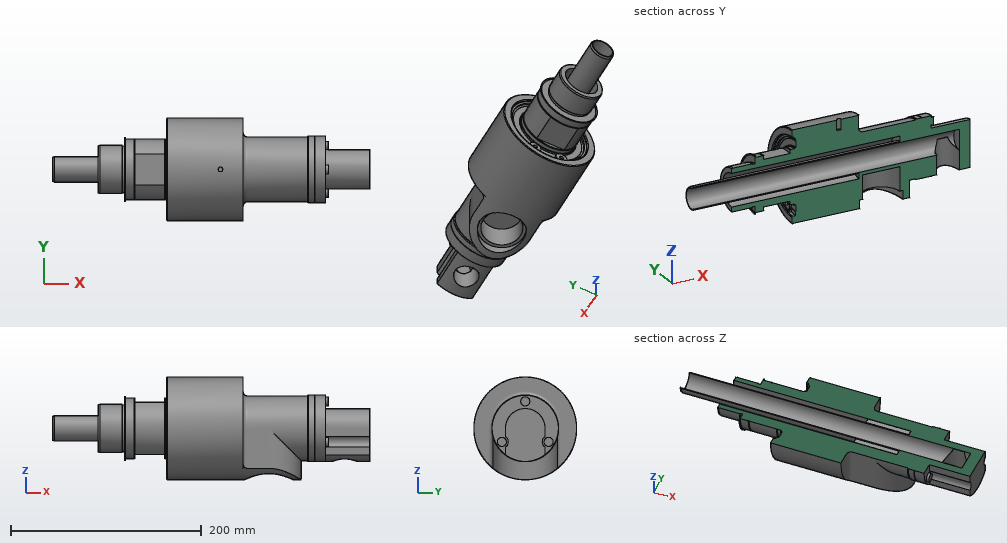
import cadquery as cq
import math

LENGTH = 332.2

TUBE_DIA = 26.98
TUBE_BORE = 23.4
TUBE_CHAMFER_LENGTH = 2.0
TUBE_CHAMFER_DEPTH = 0.9

SLEEVE_START = 47.5
SLEEVE_DIA = 50.75
SLEEVE_BORE = 38.1
SLEEVE_CHAMFER = (1.8, 0.7)
SLEEVE_NECK_DIA = 49.4
SLEEVE_NECK_START = 72.4
RING_START = 75.4
RING_WIDTH = 1.0
RING_DIA = 67.0

ROTOR_DIA = 64.0
ROTOR_GROOVE_DEPTH = 0.3
ROTOR_GROOVE_WIDTH = 1.0
FLATS_START = 86.2
FLATS_END = 117.3
FLATS_ACROSS = 55.2

HOUSING_DIA = 107.95
HOUSING_START = 119.2
HOUSING_END = 199.6
HOUSING_CHAMFER = 0.9
RECESS_DIA = 90.0
RECESS_CHAMFER = 1.0
SHOULDER_DIA = 81.0
SHOULDER_DEPTH = 4.5
RECESS_DEPTH = 4.8
ROTOR_SHOULDER_DIA = 66.4
ROTOR_SHOULDER_DEPTH = 3.0
VENT_DIA = 4.78
VENT_X = 175.8
VENT_DEPTH = 12.0

SNAP_RING_DEPTH = 2.4
SNAP_RING_INNER_DIA = 85.4
SNAP_RING_GAP = 17.4
EAR_RADIUS = 6.6
EAR_OFFSET_Y = 15.4
EAR_OFFSET_Z = -36.6
EAR_HOLE_DIA = 4.36

BARREL_DIA = 68.0
BARREL_END = 266.7
BARREL_FILLET = 4.6
FILLET_MID = BARREL_FILLET * (1 - math.sqrt(0.5))

LUG_PORT_X = 226.4
LUG_PORT_DIA = 44.1
LUG_SPOTFACE_DIA = 51.2
LUG_SPOTFACE_TOP = -44.0
LUG_PORT_TOP = -16.0

FLANGE_DIA = 70.0
FLANGE_END = 286.0
FLANGE_CHAMFER = (1.5, 0.5)
SEAM_X = 274.4
SEAM_WIDTH = 0.3
SEAM_DEPTH = 0.2
SCREW_COUNT = 3
SCREW_CIRCLE_RADIUS = 28.3
SCREW_HEAD_DIA = 9.53
SCREW_HEAD_HEIGHT = 2.9

BOSS_WIDTH = 41.6
BOSS_BOTTOM_DIA = 69.6
BOSS_RELIEF_RADIUS = 6.7
REAR_PORT_X = 305.8
REAR_PORT_DIA = 26.64

CUT_CLEARANCE = 1.0


def rod(start, end, diameter, y=0.0, z=0.0):
    """Solid cylinder along X from start to end."""
    plane = cq.Workplane("YZ", origin=(start, y, z))
    return plane.circle(diameter / 2).extrude(end - start)


def upright(x, bottom, top, diameter):
    """Solid vertical cylinder between two heights."""
    return cq.Workplane("XY", origin=(x, 0, bottom)).circle(diameter / 2).extrude(top - bottom)


def block(x0, x1, y0, y1, z0, z1):
    """Solid box between opposite corners."""
    return cq.Workplane("XY").box(x1 - x0, y1 - y0, z1 - z0, centered=False).translate((x0, y0, z0))


def make_turned_body():
    """Revolved tube, sleeve, rotor, housing, barrel and flange, with the annulus around the tube."""
    annulus_end = LUG_PORT_X + LUG_PORT_DIA / 2
    tube_r = TUBE_DIA / 2
    sleeve_r = SLEEVE_DIA / 2
    neck_r = SLEEVE_NECK_DIA / 2
    ring_r = RING_DIA / 2
    rotor_r = ROTOR_DIA / 2
    housing_r = HOUSING_DIA / 2
    barrel_r = BARREL_DIA / 2
    flange_r = FLANGE_DIA / 2
    ring_end = RING_START + RING_WIDTH
    neck_step = sleeve_r - neck_r
    profile = (
        cq.Workplane("XZ")
        .moveTo(0, 0)
        .lineTo(0, tube_r - TUBE_CHAMFER_DEPTH)
        .lineTo(TUBE_CHAMFER_LENGTH, tube_r)
        .lineTo(annulus_end, tube_r)
        .lineTo(annulus_end, SLEEVE_BORE / 2)
        .lineTo(SLEEVE_START, SLEEVE_BORE / 2)
        .lineTo(SLEEVE_START, sleeve_r - SLEEVE_CHAMFER[1])
        .lineTo(SLEEVE_START + SLEEVE_CHAMFER[0], sleeve_r)
        .lineTo(SLEEVE_NECK_START, sleeve_r)
        .lineTo(SLEEVE_NECK_START + neck_step, neck_r)
        .lineTo(RING_START, neck_r)
        .lineTo(RING_START, ring_r)
        .lineTo(ring_end, ring_r)
        .lineTo(ring_end, rotor_r)
        .lineTo(HOUSING_START, rotor_r)
        .lineTo(HOUSING_START, housing_r - HOUSING_CHAMFER)
        .lineTo(HOUSING_START + HOUSING_CHAMFER, housing_r)
        .lineTo(HOUSING_END, housing_r)
        .lineTo(HOUSING_END, barrel_r + BARREL_FILLET)
        .threePointArc(
            (HOUSING_END + FILLET_MID, barrel_r + FILLET_MID),
            (HOUSING_END + BARREL_FILLET, barrel_r),
        )
        .lineTo(BARREL_END, barrel_r)
        .lineTo(BARREL_END, flange_r - FLANGE_CHAMFER[1])
        .lineTo(BARREL_END + FLANGE_CHAMFER[0], flange_r)
        .lineTo(FLANGE_END, flange_r)
        .lineTo(FLANGE_END, 0)
        .close()
    )
    return profile.revolve(360, (0, 0, 0), (1, 0, 0))


def shallow_groove(start, width, diameter, depth):
    """Ring-shaped cutter for a shallow groove in a turned surface."""
    outer = rod(start, start + width, diameter + CUT_CLEARANCE)
    return outer.cut(rod(start, start + width, diameter - 2 * depth))


def make_flat_cutter():
    """Material removed above and below the rotor to leave the wrench flats."""
    flats = FLATS_ACROSS / 2
    stock = rod(FLATS_START, FLATS_END, ROTOR_DIA + CUT_CLEARANCE)
    return stock.cut(block(FLATS_START, FLATS_END, -ROTOR_DIA, ROTOR_DIA, -flats, flats))


def make_recess_cutter():
    """Stepped, chamfered annular recess in the housing face, leaving a small shoulder on the rotor."""
    recess_r = RECESS_DIA / 2
    shoulder_x = HOUSING_START + SHOULDER_DEPTH
    floor_x = HOUSING_START + RECESS_DEPTH
    rotor_shoulder_x = HOUSING_START + ROTOR_SHOULDER_DEPTH
    profile = (
        cq.Workplane("XZ")
        .moveTo(HOUSING_START, ROTOR_DIA / 2)
        .lineTo(HOUSING_START, recess_r + RECESS_CHAMFER)
        .lineTo(HOUSING_START + RECESS_CHAMFER, recess_r)
        .lineTo(shoulder_x, recess_r)
        .lineTo(shoulder_x, SHOULDER_DIA / 2)
        .lineTo(floor_x, SHOULDER_DIA / 2)
        .lineTo(floor_x, ROTOR_SHOULDER_DIA / 2)
        .lineTo(rotor_shoulder_x, ROTOR_SHOULDER_DIA / 2)
        .lineTo(rotor_shoulder_x, ROTOR_DIA / 2)
        .close()
    )
    return profile.revolve(360, (0, 0, 0), (1, 0, 0))


def make_snap_ring():
    """Split ring with two drilled ears, seated against the recess shoulder."""
    front = HOUSING_START + SNAP_RING_DEPTH
    back = HOUSING_START + SHOULDER_DEPTH
    ring = rod(front, back, RECESS_DIA).cut(rod(front, back, SNAP_RING_INNER_DIA))
    for side in (-1, 1):
        ring = ring.union(rod(front, back, 2 * EAR_RADIUS, side * EAR_OFFSET_Y, EAR_OFFSET_Z))
    half_gap = SNAP_RING_GAP / 2
    ring = ring.cut(block(front, back, -half_gap, half_gap, -RECESS_DIA / 2, EAR_OFFSET_Z + EAR_RADIUS))
    for side in (-1, 1):
        ring = ring.cut(rod(front, back, EAR_HOLE_DIA, side * EAR_OFFSET_Y, EAR_OFFSET_Z))
    return ring.intersect(rod(front, back, RECESS_DIA))


def make_lug():
    """Round-ended lug below the axis, flared into the housing and trimmed to the housing radius."""
    half_width = BARREL_DIA / 2
    flare_end = HOUSING_END + BARREL_FILLET
    plan = (
        cq.Workplane("XY")
        .moveTo(HOUSING_END, -half_width - BARREL_FILLET)
        .threePointArc((HOUSING_END + FILLET_MID, -half_width - FILLET_MID), (flare_end, -half_width))
        .lineTo(LUG_PORT_X, -half_width)
        .threePointArc((LUG_PORT_X + half_width, 0), (LUG_PORT_X, half_width))
        .lineTo(flare_end, half_width)
        .threePointArc(
            (HOUSING_END + FILLET_MID, half_width + FILLET_MID),
            (HOUSING_END, half_width + BARREL_FILLET),
        )
        .close()
    )
    return plan.extrude(-HOUSING_DIA / 2).intersect(rod(HOUSING_END, FLANGE_END, HOUSING_DIA))


def screw_centres():
    """Y and Z of the flange screws, the first one straight above the axis."""
    centres = []
    for index in range(SCREW_COUNT):
        angle = math.radians(90 + index * 360 / SCREW_COUNT)
        centres.append((SCREW_CIRCLE_RADIUS * math.cos(angle), SCREW_CIRCLE_RADIUS * math.sin(angle)))
    return centres


def make_boss():
    """Rear port boss: round top, flat sides and a bottom concentric with the flange."""
    half_width = BOSS_WIDTH / 2
    skirt = block(FLANGE_END, LENGTH, -half_width, half_width, -BOSS_BOTTOM_DIA / 2, 0)
    boss = skirt.intersect(rod(FLANGE_END, LENGTH, BOSS_BOTTOM_DIA))
    boss = boss.union(rod(FLANGE_END, LENGTH, BOSS_WIDTH))
    for y, z in screw_centres()[1:]:
        boss = boss.cut(rod(FLANGE_END, LENGTH, 2 * BOSS_RELIEF_RADIUS, y, z))
    return boss


def make_passages():
    """Lug port opening into the annulus around the tube, and tube bore opening into the rear port."""
    lug_port = upright(LUG_PORT_X, -HOUSING_DIA / 2, LUG_PORT_TOP, LUG_PORT_DIA)
    spotface = upright(LUG_PORT_X, -HOUSING_DIA / 2, LUG_SPOTFACE_TOP, LUG_SPOTFACE_DIA)
    tube_bore = rod(0, REAR_PORT_X + REAR_PORT_DIA / 2, TUBE_BORE)
    rear_port = upright(REAR_PORT_X, -BOSS_BOTTOM_DIA / 2, 0, REAR_PORT_DIA)
    return [lug_port, spotface, tube_bore, rear_port]


cutters = [
    shallow_groove(start, ROTOR_GROOVE_WIDTH, ROTOR_DIA, ROTOR_GROOVE_DEPTH)
    for start in (FLATS_START - ROTOR_GROOVE_WIDTH, FLATS_END)
]
cutters += [
    shallow_groove(SEAM_X, SEAM_WIDTH, FLANGE_DIA, SEAM_DEPTH),
    make_flat_cutter(),
    make_recess_cutter(),
    upright(VENT_X, HOUSING_DIA / 2 - VENT_DEPTH, HOUSING_DIA / 2, VENT_DIA),
]

body = make_turned_body()
for cutter in cutters:
    body = body.cut(cutter)

body = body.union(make_snap_ring()).union(make_lug()).union(make_boss())
for y, z in screw_centres():
    body = body.union(rod(FLANGE_END, FLANGE_END + SCREW_HEAD_HEIGHT, SCREW_HEAD_DIA, y, z))

for passage in make_passages():
    body = body.cut(passage)

result = body